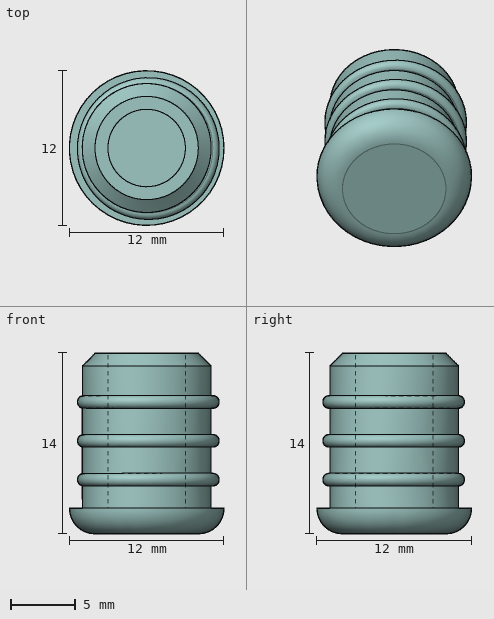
import cadquery as cq

total_height = 14.0
flange_diameter = 12.0
flange_height = 2.0
flange_edge_radius = 1.99
body_diameter = 10.0
bore_diameter = 6.0
top_chamfer = 1.0

ring_section_diameter = 1.0
ring_center_x = 0.13
ring_center_y = -0.04
lowest_ring_height = 4.2
ring_pitch = 3.01
ring_count = 3


def make_flange():
    """Disc with a rounded underside."""
    disc = cq.Workplane("XY").circle(flange_diameter / 2).extrude(flange_height)
    return disc.faces("<Z").edges().fillet(flange_edge_radius)


def make_body():
    """Cylindrical plug with a chamfered top rim."""
    body_height = total_height - flange_height
    body = cq.Workplane("XY").workplane(offset=flange_height)
    body = body.circle(body_diameter / 2).extrude(body_height)
    return body.faces(">Z").edges().chamfer(top_chamfer)


def make_ring(height):
    """Full-rounded disc whose rim stands out of the body as a ring with narrow flat shoulders."""
    half_width = ring_section_diameter / 2
    flat_radius = body_diameter / 2
    section = (
        cq.Workplane("XZ", origin=(ring_center_x, ring_center_y, height))
        .moveTo(0, -half_width)
        .lineTo(flat_radius, -half_width)
        .threePointArc((flat_radius + half_width, 0), (flat_radius, half_width))
        .lineTo(0, half_width)
        .close()
    )
    return section.revolve(360, (0, 0), (0, 1))


def make_bore():
    """Blind bore from the top down to the level of the flange."""
    bore = cq.Workplane("XY").workplane(offset=flange_height)
    return bore.circle(bore_diameter / 2).extrude(total_height - flange_height)


result = make_flange().union(make_body())
for ring_index in range(ring_count):
    result = result.union(make_ring(lowest_ring_height + ring_index * ring_pitch))
result = result.cut(make_bore())